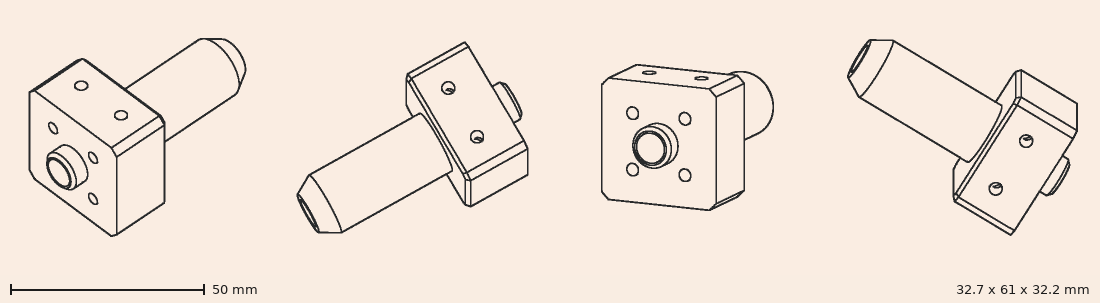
import cadquery as cq

block_width = 32.7
block_height = 32.2
block_depth = 18.0
corner_chamfer = 1.95
rear_chamfer = 1.0

total_length = 61.0
spigot_length = 5.0
spigot_diameter = 11.0
spigot_chamfer = 1.0
shaft_length = total_length - spigot_length - block_depth
shaft_diameter = 17.1
tip_length = 5.0
tip_inset = 2.85
bore_diameter = 8.0

hole_diameter = 3.3
hole_spacing = 14.95
cross_hole_setback = 10.0


def y_cylinder(diameter, start, length):
    """Cylinder on the Y axis running from start toward +Y."""
    plane = cq.Workplane("XZ", origin=(0, start, 0))
    return plane.circle(diameter / 2).extrude(-length)


block = (
    cq.Workplane("XY")
    .box(block_width, block_depth, block_height, centered=(True, False, True))
    .edges("|Y")
    .chamfer(corner_chamfer)
    .faces(">Y")
    .edges()
    .chamfer(rear_chamfer)
)

spigot = y_cylinder(spigot_diameter, -spigot_length, spigot_length)
spigot = spigot.faces("<Y").edges().chamfer(spigot_chamfer)

shaft = y_cylinder(shaft_diameter, block_depth, shaft_length)
shaft = shaft.faces(">Y").edges().chamfer(tip_length, tip_inset)

bore = y_cylinder(bore_diameter, -spigot_length, total_length)

cross_holes = (
    cq.Workplane("XY", origin=(0, cross_hole_setback, -block_height / 2))
    .rarray(hole_spacing, 0.6, 2, 1)
    .circle(hole_diameter / 2)
    .extrude(block_height)
)

front_holes = (
    cq.Workplane("XZ")
    .rarray(hole_spacing, hole_spacing, 2, 2)
    .circle(hole_diameter / 2)
    .extrude(-cross_hole_setback)
)

result = block.union(spigot).union(shaft).cut(bore).cut(cross_holes).cut(front_holes)